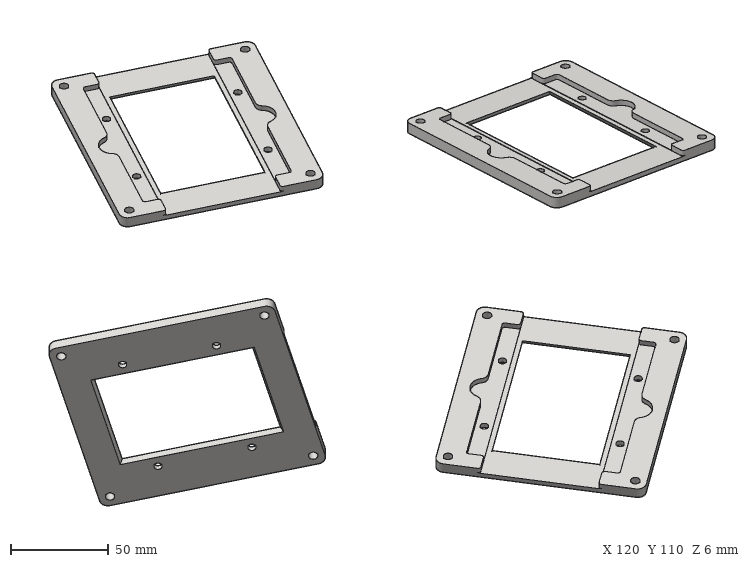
import cadquery as cq
import math

length = 120.0
width = 110.0
thickness = 6.0
corner_radius = 4.5

channel_width = 61.9
channel_floor_height = 2.8
window_length = 84.0
window_width = 56.2
window_flare = 1.5

pocket_floor_height = 3.0
pocket_depth = thickness - pocket_floor_height
pocket_length = 100.1
pocket_edge_y = 40.2
pocket_corner_radius = 1.5
tab_radius = 1.5
bulge_top_y = 47.6
bulge_radius = 7.2
bulge_blend_radius = 4.0

corner_hole_diameter = 4.8
corner_hole_inset = 6.0
pocket_hole_diameter = 4.2
pocket_hole_x = 25.0
pocket_hole_y = 35.5


def rounded_plate(height):
    """Plate outline with rounded corners, standing on Z = 0."""
    return cq.Workplane("XY").rect(length, width).extrude(height).edges("|Z").fillet(corner_radius)


def pocket_cutter():
    """Pocket with a round bulge blended into its long edge on the +Y side."""
    floor = cq.Workplane("XY", origin=(0, 0, pocket_floor_height))
    pocket = (
        floor.rect(pocket_length, 2 * pocket_edge_y)
        .extrude(pocket_depth)
        .edges("|Z")
        .fillet(pocket_corner_radius)
    )

    bulge_y = bulge_top_y - bulge_radius
    blend_y = pocket_edge_y + bulge_blend_radius
    center_distance = bulge_radius + bulge_blend_radius
    blend_x = math.sqrt(center_distance**2 - (blend_y - bulge_y) ** 2)
    touch_ratio = bulge_radius / center_distance
    touch_x = touch_ratio * blend_x
    touch_y = bulge_y + touch_ratio * (blend_y - bulge_y)
    bulge = (
        floor.moveTo(-blend_x, 0)
        .lineTo(-blend_x, pocket_edge_y)
        .radiusArc((-touch_x, touch_y), -bulge_blend_radius)
        .threePointArc((0, bulge_top_y), (touch_x, touch_y))
        .radiusArc((blend_x, pocket_edge_y), -bulge_blend_radius)
        .lineTo(blend_x, 0)
        .close()
        .extrude(pocket_depth)
    )
    return pocket.union(bulge)


def raised_pads():
    """Two raised pads beside the channel, cut by the pockets into rounded tabs."""
    pad_width = (width - channel_width) / 2
    pad_y = (width - pad_width) / 2
    pads = (
        cq.Workplane("XY", origin=(0, 0, pocket_floor_height))
        .pushPoints([(0, pad_y), (0, -pad_y)])
        .rect(length, pad_width)
        .extrude(pocket_depth)
    )
    cutter = pocket_cutter()
    pads = pads.cut(cutter).cut(cutter.mirror("XZ"))

    reach_y = channel_width / 2 + tab_radius / 2
    near_channel = cq.selectors.BoxSelector((-length, -reach_y, 0), (length, reach_y, thickness))
    pads = pads.edges("|Z").edges(near_channel).fillet(tab_radius)
    return pads.intersect(rounded_plate(thickness))


def channel_cutter():
    """Full-length channel between the pads."""
    return (
        cq.Workplane("XY", origin=(0, 0, channel_floor_height))
        .rect(length, channel_width)
        .extrude(thickness - channel_floor_height)
    )


def window_cutter():
    """Window that widens from the channel floor down to the underside."""
    return (
        cq.Workplane("XY")
        .rect(window_length + 2 * window_flare, window_width + 2 * window_flare)
        .workplane(offset=channel_floor_height)
        .rect(window_length, window_width)
        .loft(ruled=True)
    )


def hole_cutters(x, y, diameter):
    """Four through holes, mirrored about both center planes."""
    return (
        cq.Workplane("XY")
        .rect(2 * x, 2 * y, forConstruction=True)
        .vertices()
        .circle(diameter / 2)
        .extrude(thickness)
    )


base = rounded_plate(pocket_floor_height).cut(channel_cutter()).cut(window_cutter())
corner_hole_x = length / 2 - corner_hole_inset
corner_hole_y = width / 2 - corner_hole_inset

result = (
    base.union(raised_pads())
    .cut(hole_cutters(corner_hole_x, corner_hole_y, corner_hole_diameter))
    .cut(hole_cutters(pocket_hole_x, pocket_hole_y, pocket_hole_diameter))
)